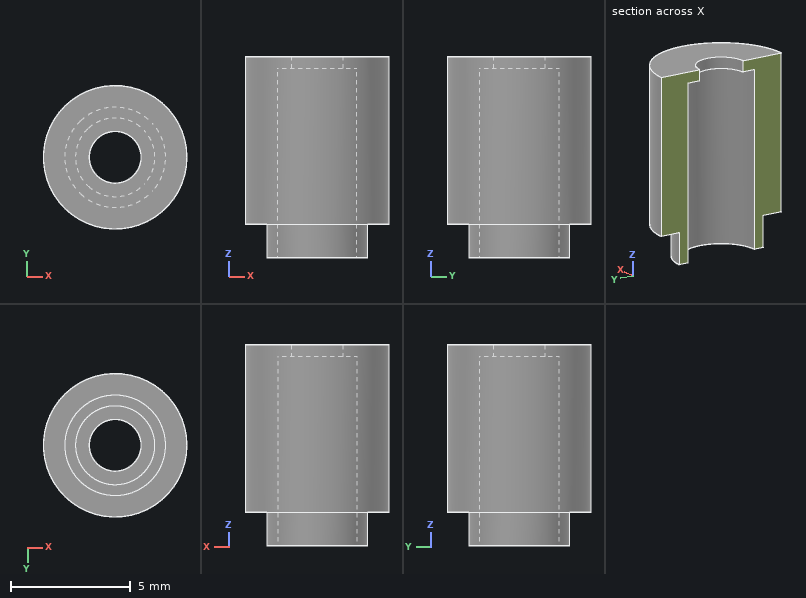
import cadquery as cq

total_height = 8.4
body_diameter = 6.0
spigot_diameter = 4.2
spigot_height = 1.4

opening_diameter = 2.15
bore_diameter = 3.3
top_wall = 0.5


def cylinder(diameter, bottom, top):
    """Upright cylinder on the Z axis between two heights."""
    return cq.Workplane("XY").workplane(offset=bottom).circle(diameter / 2).extrude(top - bottom)


spigot = cylinder(spigot_diameter, 0, spigot_height)
body = cylinder(body_diameter, spigot_height, total_height)

opening = cylinder(opening_diameter, 0, total_height)
bore = cylinder(bore_diameter, 0, total_height - top_wall)

result = spigot.union(body).cut(opening).cut(bore)